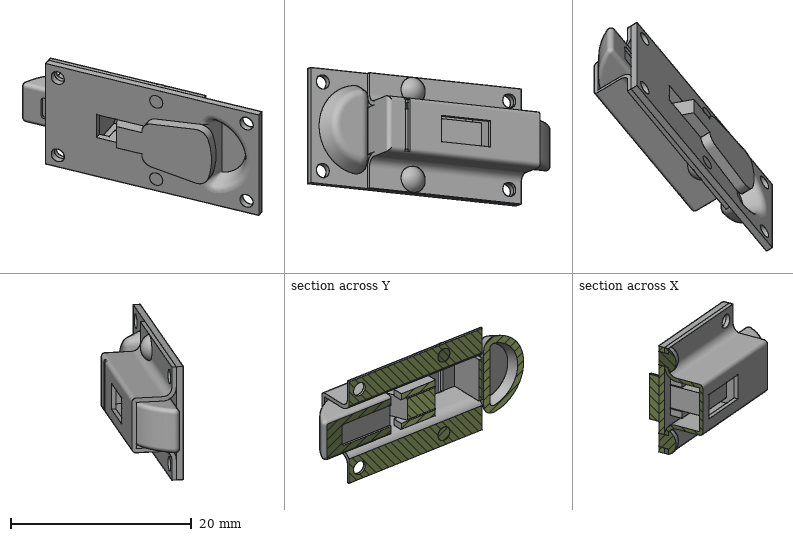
import cadquery as cq
import math


total_length = 29.4
plate_length = 26.0
plate_height = 13.0
plate_thickness = 0.8
plate_left = total_length - plate_length
hole_diameter = 1.6
hole_inset = 1.5
hole_height = plate_height / 2 - hole_inset
slot_left = 9.6
slot_width = 2.97
ear_left = 10.82
ear_span = 4.6
ear_height = 1.5

cup_left = 22.4
cup_arc_center = 23.35
cup_arc_radius = 5.03
cup_corner_radius = 1.5
cup_height = 2.12
cup_angle = 24.5
cup_lip_radius = 0.88
cup_bottom_radius = 1.03
least_corner_radius = 0.05

sheet = 0.5
cover_length = 18.93
cover_depth = 5.0
cover_width = 6.3
bend_radius = 1.0
cover_right = plate_left + cover_length
cover_back = plate_thickness + cover_depth
inner_half_width = cover_width / 2 - sheet
slit_center = 19.93
slit_width = 0.6
slit_length = 5.88

bolt_right = 9.4
bolt_width = 5.0
bolt_clearance = 0.18
bolt_edge_radius = 0.5
bolt_front = plate_thickness + bolt_clearance
bolt_back = cover_back - sheet
bolt_shoulder_radius = 1.18
nose_overhang = 0.24
nose_curve_end = 3.97
nose_curve_middle = (1.32, 2.6)
pocket_left = 2.45
pocket_width = 2.65
pocket_depth = 0.3
pocket_corner_radius = 0.35

lever_height = 1.2
neck_width = 2.75
neck_left = 12.6
prong_left = 10.15
prong_back = 4.65
paddle_left = 15.7
paddle_right = 24.2
paddle_left_half_width = 2.62
paddle_taper = 0.13
paddle_end_left = 23.85
paddle_end_half_width = 2.38
paddle_left_radius = 1.3
paddle_right_radius = 1.47

rivet_x = 16.9
rivet_head_diameter = 3.0
rivet_head_height = 1.0

tolerance = 0.03


def front_plane(y):
    """Workplane facing the front at depth y, with local axes X and Z."""
    return cq.Workplane("XZ", origin=(0, y, 0))


def box(x_range, y_range, z_range):
    size = [high - low for low, high in (x_range, y_range, z_range)]
    corner = (x_range[0], y_range[0], z_range[0])
    return cq.Workplane("XY").box(*size, centered=False).translate(corner)


def centred_box(x_range, y_range, width):
    return box(x_range, y_range, (-width / 2, width / 2))


def edges_near(x_range, y_range, half_height):
    """Selector for the edges whose centres lie in the ranges, give or take the tolerance."""
    low = (x_range[0] - tolerance, y_range[0] - tolerance, -half_height)
    high = (x_range[1] + tolerance, y_range[1] + tolerance, half_height)
    return cq.selectors.BoxSelector(low, high)


def through_pins(points, diameter, y_start, y_end):
    return front_plane(y_start).pushPoints(points).circle(diameter / 2).extrude(y_start - y_end)


def cup_outline(workplane, inset):
    """D outline of the cup, moved inwards by inset, with rounded corners on its flat side."""
    corner = max(cup_corner_radius - inset, least_corner_radius)
    radius = cup_arc_radius - inset
    left = cup_left + inset
    corner_x = left + corner
    corner_z = math.sqrt((radius - corner) ** 2 - (corner_x - cup_arc_center) ** 2)
    angle = math.atan2(corner_z, corner_x - cup_arc_center)
    join_x = cup_arc_center + radius * math.cos(angle)
    join_z = radius * math.sin(angle)
    middle_angle = (angle + math.pi) / 2
    middle_x = corner_x + corner * math.cos(middle_angle)
    middle_z = corner_z + corner * math.sin(middle_angle)
    return (
        workplane.moveTo(left, -corner_z)
        .lineTo(left, corner_z)
        .threePointArc((middle_x, middle_z), (join_x, join_z))
        .threePointArc((cup_arc_center + radius, 0), (join_x, -join_z))
        .threePointArc((middle_x, -middle_z), (left, -corner_z))
        .close()
    )


def tapered_cup(y_start, inset):
    """Solid D frustum of the cup height, narrowing towards the back."""
    start = cup_outline(front_plane(y_start), inset)
    end_inset = inset + cup_height * math.tan(math.radians(cup_angle))
    return cup_outline(start.workplane(offset=-cup_height), end_inset).loft(ruled=True)


corner_holes = [
    (x, z)
    for x in (plate_left + hole_inset, total_length - hole_inset)
    for z in (-hole_height, hole_height)
]
rivet_points = [(rivet_x, z) for z in (-hole_height, hole_height)]
slot_cutter = centred_box((slot_left, paddle_left), (0, cover_back), slot_width)
hole_cutter = through_pins(corner_holes + rivet_points, hole_diameter, 0, cover_back)


def make_plate():
    plate = centred_box((plate_left, total_length), (0, plate_thickness), plate_height)
    cup = tapered_cup(plate_thickness, 0).faces(">Y").edges().fillet(cup_bottom_radius)
    lip_inset = cup_lip_radius * math.tan(math.radians(90 - cup_angle) / 2)
    plate = plate.union(cup).cut(tapered_cup(0, lip_inset))
    lip = edges_near((cup_left, cup_arc_center + cup_arc_radius), (0, 0), cup_arc_radius)
    plate = plate.edges(lip).fillet(cup_lip_radius)
    ear_range = (plate_thickness, plate_thickness + ear_height)
    ears = centred_box((ear_left, paddle_left), ear_range, ear_span)
    return plate.union(ears).cut(slot_cutter).cut(hole_cutter)


def hat_outline(half_width, back, flange_back, radius):
    """Half hat section in Y and Z, from the middle of the back to the flange edge."""
    bend_middle = radius * (1 - math.sqrt(0.5))
    return (
        cq.Workplane("YZ", origin=(plate_left, 0, 0))
        .moveTo(back, 0)
        .lineTo(back, half_width)
        .lineTo(flange_back + radius, half_width)
        .threePointArc(
            (flange_back + bend_middle, half_width + bend_middle),
            (flange_back, half_width + radius),
        )
        .lineTo(flange_back, plate_height / 2)
        .lineTo(0, plate_height / 2)
        .lineTo(0, 0)
        .close()
        .extrude(cover_length)
    )


def make_cover():
    outside = hat_outline(cover_width / 2, cover_back, plate_thickness + sheet, bend_radius)
    inside = hat_outline(inner_half_width, cover_back - sheet, plate_thickness, bend_radius + sheet)
    half = outside.cut(inside)
    cover = half.union(half.mirror("XY"))
    end_wall = centred_box(
        (cover_right - sheet, cover_right), (plate_thickness, cover_back), 2 * inner_half_width
    )
    cover = cover.union(end_wall)
    cover = cover.faces(">Y").edges("|X or >X").fillet(sheet)
    slit = centred_box(
        (slit_center - slit_width / 2, slit_center + slit_width / 2),
        (cover_back - sheet, cover_back),
        slit_length,
    )
    return cover.cut(slit).cut(slot_cutter).cut(hole_cutter)


def make_bolt():
    middle_x, middle_depth = nose_curve_middle
    bolt = (
        cq.Workplane("XY", origin=(0, 0, -bolt_width / 2))
        .moveTo(-nose_overhang, bolt_front)
        .threePointArc((middle_x, bolt_front + middle_depth), (nose_curve_end, bolt_back))
        .lineTo(bolt_right, bolt_back)
        .lineTo(bolt_right, bolt_front)
        .close()
        .extrude(bolt_width)
    )
    bolt = bolt.edges("|Z and <X").fillet(bolt_edge_radius)
    shoulder = edges_near((nose_curve_end, nose_curve_end), (bolt_back, bolt_back), bolt_width)
    bolt = bolt.edges(shoulder).fillet(bolt_shoulder_radius)
    bolt = bolt.faces("|Z").edges("not >X").fillet(bolt_edge_radius)
    pocket = centred_box((pocket_left, bolt_right), (bolt_front, bolt_front + pocket_depth), pocket_width)
    pocket = pocket.edges("|Y and <X").fillet(pocket_corner_radius)
    return bolt.cut(pocket)


def make_lever():
    sharp_right_half_width = paddle_left_half_width + paddle_taper * (paddle_end_left - paddle_left)
    rise = paddle_right - paddle_end_left
    end_radius = (rise**2 + paddle_end_half_width**2) / (2 * rise)
    corner_x = paddle_right - end_radius + math.sqrt(end_radius**2 - sharp_right_half_width**2)
    corner_z = paddle_left_half_width + paddle_taper * (corner_x - paddle_left)
    paddle = (
        front_plane(-lever_height)
        .moveTo(paddle_left, -paddle_left_half_width)
        .lineTo(corner_x, -corner_z)
        .threePointArc((paddle_right, 0), (corner_x, corner_z))
        .lineTo(paddle_left, paddle_left_half_width)
        .close()
        .extrude(-lever_height)
    )
    paddle = paddle.edges("|Y and <X").fillet(paddle_left_radius)
    end_corners = edges_near((corner_x, corner_x), (-lever_height, 0), plate_height)
    paddle = paddle.edges(end_corners).fillet(paddle_right_radius)
    prong = (
        cq.Workplane("XY", origin=(0, 0, -neck_width / 2))
        .moveTo(neck_left, -lever_height)
        .lineTo(paddle_left, -lever_height)
        .lineTo(paddle_left, prong_back)
        .lineTo(prong_left, prong_back)
        .close()
        .extrude(neck_width)
    )
    return paddle.union(prong)


def make_rivet(point, cover):
    """Flush shank with a spherical head that sits on the flange and follows its bend."""
    x, z = point
    head_base = plate_thickness + sheet
    head_radius = rivet_head_diameter / 2
    sphere_radius = (head_radius**2 + rivet_head_height**2) / (2 * rivet_head_height)
    head = (
        cq.Workplane("XY", origin=(x, 0, z))
        .moveTo(0, head_base)
        .lineTo(head_radius, head_base)
        .radiusArc((0, head_base + rivet_head_height), -sphere_radius)
        .close()
        .revolve(360, (0, 0, 0), (0, 1, 0))
    )
    shank = through_pins([point], hole_diameter, 0, head_base)
    return shank.union(head).cut(cover)


plate = make_plate()
cover = make_cover()
bolt = make_bolt()
lever = make_lever()
rivets = [make_rivet(point, cover) for point in rivet_points]

bodies = [plate, cover, bolt, lever, *rivets]
result = cq.Compound.makeCompound([body.solids().val() for body in bodies])